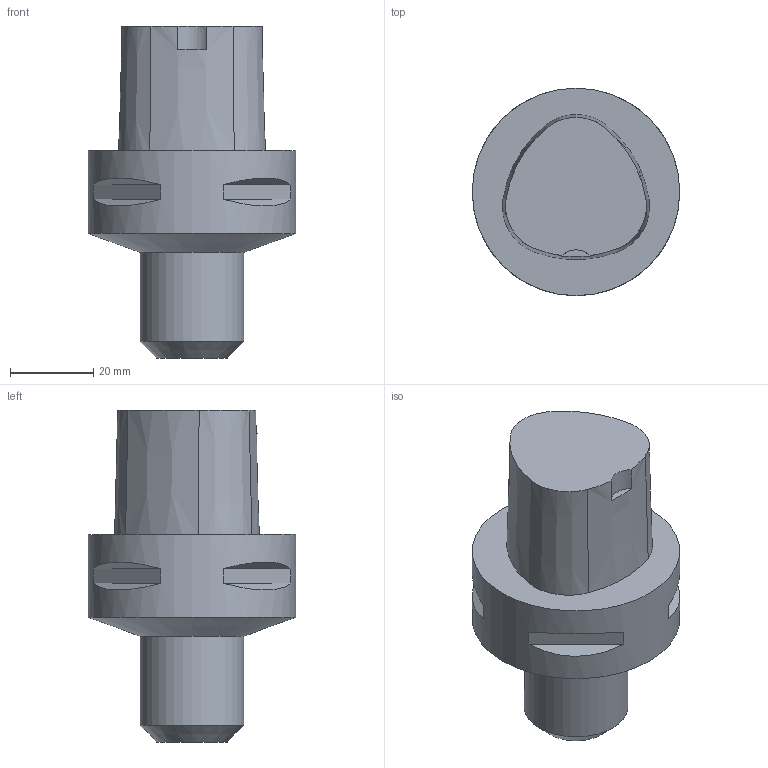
import cadquery as cq
import math

TOTAL_HEIGHT = 80.0
FLANGE_BOTTOM = 30.0
FLANGE_TOP = 50.0

SHANK_RADIUS = 12.5
SHANK_CHAMFER_HEIGHT = 4.0
SHANK_CHAMFER_WIDTH = 4.0
FLANGE_RADIUS = 25.0
FLANGE_CONE_ANGLE = 20.0

LOBE_RADIUS = 11.75
LOBE_CENTRE_DISTANCE = 6.9
FLANK_DISTANCE = 16.3
LOBE_COUNT = 3
TAPER_RATIO = 1 / 20

NOTCH_RADIUS = 5.0
NOTCH_INNER_Y = -14.0
NOTCH_DEPTH = 5.6

GROOVE_COUNT = 4
GROOVE_FIRST_ANGLE = 45.0
GROOVE_HEIGHT = (FLANGE_BOTTOM + FLANGE_TOP) / 2
GROOVE_FLOOR_DISTANCE = 22.2
GROOVE_FLOOR_WIDTH = 3.5
GROOVE_SIDE_ANGLE = 30.0


def polar(radius, angle):
    """Point at a distance and an angle in degrees from the axis."""
    return (radius * math.cos(math.radians(angle)), radius * math.sin(math.radians(angle)))


def turned_body():
    """Chamfered shank, cone and flange revolved about Z."""
    cone_height = (FLANGE_RADIUS - SHANK_RADIUS) * math.tan(math.radians(FLANGE_CONE_ANGLE))
    profile = [
        (0, 0),
        (SHANK_RADIUS - SHANK_CHAMFER_WIDTH, 0),
        (SHANK_RADIUS, SHANK_CHAMFER_HEIGHT),
        (SHANK_RADIUS, FLANGE_BOTTOM - cone_height),
        (FLANGE_RADIUS, FLANGE_BOTTOM),
        (FLANGE_RADIUS, FLANGE_TOP),
        (0, FLANGE_TOP),
    ]
    return cq.Workplane("XZ").polyline(profile).close().revolve(360, (0, 0), (0, 1))


def lobed_shank():
    """Rounded triangle with one lobe toward +Y, tapering toward the top."""
    half_pitch = 180 / LOBE_COUNT
    lobe_x = LOBE_CENTRE_DISTANCE * math.sin(math.radians(half_pitch))
    lobe_y = LOBE_CENTRE_DISTANCE * math.cos(math.radians(half_pitch))
    offset = FLANK_DISTANCE - lobe_y - LOBE_RADIUS
    centre_gap = (lobe_x**2 + offset**2) / (2 * offset)
    flank_radius = centre_gap + LOBE_RADIUS
    flank_half_angle = math.asin(lobe_x / centre_gap)
    joint_x = flank_radius * math.sin(flank_half_angle)
    joint_y = FLANK_DISTANCE - flank_radius * (1 - math.cos(flank_half_angle))
    joint_distance = math.hypot(joint_x, joint_y)
    joint_angle = math.degrees(math.atan2(joint_x, joint_y))

    first_flank_angle = -90
    outline = cq.Workplane("XY", origin=(0, 0, FLANGE_TOP))
    outline = outline.moveTo(*polar(joint_distance, first_flank_angle - joint_angle))
    for lobe in range(LOBE_COUNT):
        flank_angle = first_flank_angle + lobe * 2 * half_pitch
        lobe_angle = flank_angle + half_pitch
        outline = outline.threePointArc(
            polar(FLANK_DISTANCE, flank_angle),
            polar(joint_distance, flank_angle + joint_angle),
        )
        outline = outline.threePointArc(
            polar(LOBE_CENTRE_DISTANCE + LOBE_RADIUS, lobe_angle),
            polar(joint_distance, flank_angle + 2 * half_pitch - joint_angle),
        )
    taper_angle = math.degrees(math.atan(TAPER_RATIO / 2))
    return outline.close().extrude(TOTAL_HEIGHT - FLANGE_TOP, taper=taper_angle)


def notch_cutter():
    """Upright cylinder that breaks through the -Y flank at the top."""
    return (
        cq.Workplane("XY", origin=(0, NOTCH_INNER_Y - NOTCH_RADIUS, TOTAL_HEIGHT - NOTCH_DEPTH))
        .circle(NOTCH_RADIUS)
        .extrude(NOTCH_DEPTH)
    )


def groove_cutter(angle):
    """Straight flared groove, cut along a chord of the flange."""
    depth = FLANGE_RADIUS - GROOVE_FLOOR_DISTANCE
    floor_half = GROOVE_FLOOR_WIDTH / 2
    mouth_half = floor_half + depth * math.tan(math.radians(GROOVE_SIDE_ANGLE))
    section = [
        (GROOVE_FLOOR_DISTANCE, GROOVE_HEIGHT - floor_half),
        (FLANGE_RADIUS, GROOVE_HEIGHT - mouth_half),
        (FLANGE_RADIUS, GROOVE_HEIGHT + mouth_half),
        (GROOVE_FLOOR_DISTANCE, GROOVE_HEIGHT + floor_half),
    ]
    cutter = cq.Workplane("XZ").polyline(section).close().extrude(FLANGE_RADIUS, both=True)
    return cutter.rotate((0, 0, 0), (0, 0, 1), angle)


result = turned_body().union(lobed_shank()).cut(notch_cutter())
for index in range(GROOVE_COUNT):
    result = result.cut(groove_cutter(GROOVE_FIRST_ANGLE + index * 360 / GROOVE_COUNT))